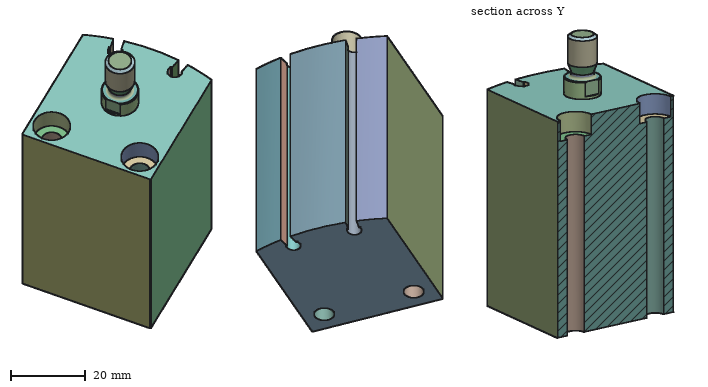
import cadquery as cq
import math

total_height = 78.1
housing_height = 61.2
housing_width = 38.0
housing_depth = 42.0
rod_to_front = 21.5
front_y = -rod_to_front
crown_y = front_y + housing_depth
crown_drop = 3.1
corner_chamfer = 0.2

hole_spacing = 26.0
hole_to_front = 6.0
hole_diameter = 5.5
counterbore_diameter = 10.0
counterbore_depth = 5.7

slot_spacing = 17.65
slot_depth = 4.8
slot_width = 3.0
slot_channel_width = 3.8
slot_shoulder_height = 0.9
slot_tilt = 10.0
slot_cut_length = 7.8

collar_diameter = 10.0
collar_height = 4.9
collar_chamfer = 0.2
flats_width = 9.0
flats_base = 0.8
neck_diameter = 6.2
neck_fillet = 0.7
thread_diameter = 8.0
thread_length = 8.1
thread_tip_diameter = 6.2
thread_chamfer_height = 0.7
undercut_cone_height = 2.5


def make_housing_block():
    half_width = housing_width / 2
    corner_y = crown_y - crown_drop
    block = (
        cq.Workplane("XY")
        .moveTo(-half_width, front_y)
        .lineTo(half_width, front_y)
        .lineTo(half_width, corner_y)
        .threePointArc((0, crown_y), (-half_width, corner_y))
        .close()
        .extrude(housing_height)
    )
    return block.edges("|Z and <Y").chamfer(corner_chamfer)


def make_sensor_slot(side):
    """Cutter for one sensor slot; side is -1 for the -X slot and +1 for the +X slot."""
    center = (side * slot_spacing / 2, crown_y - slot_depth)
    round_bottom = cq.Workplane("XY").circle(slot_channel_width / 2).extrude(housing_height)
    lower_half = (
        cq.Workplane("XY")
        .rect(slot_channel_width, slot_channel_width)
        .extrude(housing_height)
        .translate((0, -slot_channel_width / 2, 0))
    )
    straight_walls = (
        cq.Workplane("XY")
        .rect(slot_channel_width, slot_shoulder_height)
        .extrude(housing_height)
        .translate((0, slot_shoulder_height / 2, 0))
    )
    channel = round_bottom.intersect(lower_half).union(straight_walls)
    mouth = (
        cq.Workplane("XY")
        .rect(slot_width, slot_cut_length)
        .extrude(housing_height)
        .translate((0, slot_cut_length / 2, 0))
    )
    cutter = channel.union(mouth).rotate((0, 0, 0), (0, 0, 1), -side * slot_tilt)
    return cutter.translate((center[0], center[1], 0))


def make_housing():
    body = make_housing_block()
    for side in (-1, 1):
        body = body.cut(make_sensor_slot(side))
    hole_y = front_y + hole_to_front
    return (
        body.faces(">Z")
        .workplane(origin=(0, 0, housing_height))
        .pushPoints([(side * hole_spacing / 2, hole_y) for side in (-1, 1)])
        .cboreHole(hole_diameter, counterbore_diameter, counterbore_depth)
    )


def make_rod():
    """Turned rod standing on the housing top, with two wrench flats on its collar."""
    collar_radius = collar_diameter / 2
    neck_radius = neck_diameter / 2
    thread_radius = thread_diameter / 2
    collar_top = housing_height + collar_height
    thread_bottom = total_height - thread_length
    fillet_middle = neck_fillet * (1 - math.sqrt(0.5))
    turned = (
        cq.Workplane("XZ")
        .moveTo(0, housing_height)
        .lineTo(collar_radius, housing_height)
        .lineTo(collar_radius, collar_top - collar_chamfer)
        .lineTo(collar_radius - collar_chamfer, collar_top)
        .lineTo(neck_radius + neck_fillet, collar_top)
        .threePointArc(
            (neck_radius + fillet_middle, collar_top + fillet_middle),
            (neck_radius, collar_top + neck_fillet),
        )
        .lineTo(neck_radius, thread_bottom - undercut_cone_height)
        .lineTo(thread_radius, thread_bottom)
        .lineTo(thread_radius, total_height - thread_chamfer_height)
        .lineTo(thread_tip_diameter / 2, total_height)
        .lineTo(0, total_height)
        .close()
        .revolve(360, (0, 0, 0), (0, 1, 0))
    )
    flat_cutter_depth = collar_radius
    flat_cutter_y = flats_width / 2 + flat_cutter_depth / 2
    flat_cutters = (
        cq.Workplane("XY", origin=(0, 0, housing_height + flats_base))
        .pushPoints([(0, side * flat_cutter_y) for side in (-1, 1)])
        .rect(collar_diameter, flat_cutter_depth)
        .extrude(collar_height)
    )
    return turned.cut(flat_cutters)


housing = make_housing()
rod = make_rod()

result = cq.Compound.makeCompound([housing.val(), rod.val()])